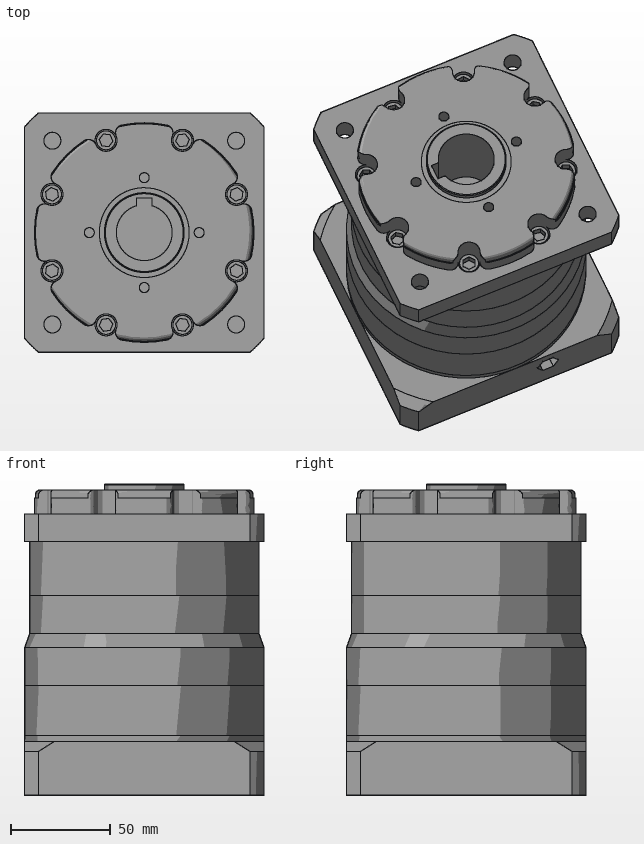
import cadquery as cq
import math

ADAPTER_SHOULDER = 27.0
ADAPTER_TOP = 30.0
INPUT_TOP = 55.0
TAPER_BOTTOM = 74.0
TAPER_TOP = 81.0
RING_GEAR_TOP = 100.0
FLANGE_BOTTOM = 127.0
FLANGE_TOP = 141.0
LOBE_STEP = 149.0
FACE_TOP = 153.0
SHAFT_TOP = 156.0

SQUARE_SIDE = 120.0
CORNER_DIAMETER = 160.0
ADAPTER_CHAMFER = 5.0

LARGE_DIAMETER = 120.0
SMALL_DIAMETER = 115.0

LOBE_DIAMETER = 110.0
LOBE_UPPER_DIAMETER = 109.0
LOBE_TOP_FILLET = 2.5
LOBE_CORNER_FILLET = 4.0
COVER_LINE_DIAMETERS = (65.0, 85.0)

SCREW_COUNT = 8
SCREW_CIRCLE_RADIUS = 50.0
SCREW_POCKET_DIAMETER = 11.0
SCREW_HEAD_DIAMETER = 9.5
SCREW_HEAD_RECESS = 1.0
SCREW_POCKET_DEPTH = 6.0
SCREW_HEX_FLATS = 6.0
SCREW_HEX_DEPTH = 4.0

MOUNT_SPACING = 92.0
MOUNT_DIAMETER = 8.5
TAPPED_COUNT = 4
TAPPED_CIRCLE_RADIUS = 27.5
TAPPED_DIAMETER = 5.0
TAPPED_DEPTH = 10.0

SHAFT_DIAMETER = 40.0
SHOULDER_DIAMETER = 45.0
SHAFT_CHAMFER = 0.5
BORE_DIAMETER = 28.0
BORE_DEPTH = 50.0
KEY_WIDTH = 8.0
KEY_REACH = 17.3

PLUG_Y = -18.0
PLUG_Z = 17.0
PLUG_DIAMETER = 16.0
PLUG_LENGTH = 10.0
PLUG_HEX_FLATS = 10.0
PLUG_HEX_DEPTH = 5.0


def cylinder(diameter, bottom, top):
    return cq.Workplane("XY", origin=(0, 0, bottom)).circle(diameter / 2).extrude(top - bottom)


def revolved(profile):
    """Solid of revolution about Z from (radius, height) points."""
    return cq.Workplane("XZ").polyline(profile).close().revolve(360, (0, 0, 0), (0, 1, 0))


def hexagon(workplane, flats, depth):
    return workplane.polygon(6, flats / math.cos(math.pi / 6)).extrude(depth)


def turned_square(bottom, top):
    """Square plate whose corners are turned to the corner diameter."""
    floor = cq.Workplane("XY", origin=(0, 0, bottom))
    square = floor.rect(SQUARE_SIDE, SQUARE_SIDE).extrude(top - bottom)
    return square.intersect(cylinder(CORNER_DIAMETER, bottom, top))


def make_adapter():
    envelope = cylinder(CORNER_DIAMETER, 0, ADAPTER_SHOULDER).faces(">Z").chamfer(ADAPTER_CHAMFER)
    plate = turned_square(0, ADAPTER_SHOULDER).intersect(envelope)
    adapter = plate.union(cylinder(LARGE_DIAMETER, ADAPTER_SHOULDER, ADAPTER_TOP))

    side = cq.Workplane("YZ", origin=(-SQUARE_SIDE / 2, PLUG_Y, PLUG_Z))
    plug = side.circle(PLUG_DIAMETER / 2).extrude(PLUG_LENGTH)
    socket = hexagon(side, PLUG_HEX_FLATS, PLUG_HEX_DEPTH)
    return adapter.cut(plug).union(plug, clean=False).cut(socket, clean=False)


def make_input_housing():
    return cylinder(LARGE_DIAMETER, ADAPTER_TOP, INPUT_TOP)


def make_ring_gear():
    return revolved([
        (0, INPUT_TOP),
        (LARGE_DIAMETER / 2, INPUT_TOP),
        (LARGE_DIAMETER / 2, TAPER_BOTTOM),
        (SMALL_DIAMETER / 2, TAPER_TOP),
        (SMALL_DIAMETER / 2, RING_GEAR_TOP),
        (0, RING_GEAR_TOP),
    ])


def screw_places(height):
    half_pitch = 180.0 / SCREW_COUNT
    plane = cq.Workplane("XY", origin=(0, 0, height))
    return plane.polarArray(SCREW_CIRCLE_RADIUS, half_pitch, 360, SCREW_COUNT)


def lobed_cover():
    """Disc scalloped around the screws, with a stepped and rounded rim."""
    height = FACE_TOP - FLANGE_TOP
    scallops = screw_places(FLANGE_TOP).circle(SCREW_POCKET_DIAMETER / 2).extrude(height)
    disc = cylinder(LOBE_DIAMETER, FLANGE_TOP, FACE_TOP).cut(scallops)
    disc = disc.edges("|Z").fillet(LOBE_CORNER_FILLET)

    lower = cylinder(LOBE_DIAMETER, FLANGE_TOP, LOBE_STEP)
    upper = cylinder(LOBE_UPPER_DIAMETER, LOBE_STEP, FACE_TOP).faces(">Z").edges().fillet(LOBE_TOP_FILLET)
    return disc.intersect(lower.union(upper))


def screw_cuts():
    """Pocket around each screw head, which is one piece with the flange, and its hexagon socket."""
    floor = FLANGE_TOP - SCREW_POCKET_DEPTH
    head_height = SCREW_POCKET_DEPTH - SCREW_HEAD_RECESS
    pockets = screw_places(floor).circle(SCREW_POCKET_DIAMETER / 2).extrude(SCREW_POCKET_DEPTH)
    heads = screw_places(floor).circle(SCREW_HEAD_DIAMETER / 2).extrude(head_height)
    sockets = hexagon(screw_places(floor + head_height), SCREW_HEX_FLATS, -SCREW_HEX_DEPTH)
    return pockets.cut(heads).union(sockets)


def make_front_housing():
    barrel = cylinder(SMALL_DIAMETER, RING_GEAR_TOP, FLANGE_BOTTOM)
    housing = barrel.union(turned_square(FLANGE_BOTTOM, FLANGE_TOP)).union(lobed_cover())
    housing = housing.cut(screw_cuts())

    flange_base = cq.Workplane("XY", origin=(0, 0, FLANGE_BOTTOM))
    mounts = flange_base.rect(MOUNT_SPACING, MOUNT_SPACING, forConstruction=True)
    housing = housing.cut(mounts.vertices().circle(MOUNT_DIAMETER / 2).extrude(FLANGE_TOP - FLANGE_BOTTOM))

    for diameter in sorted(COVER_LINE_DIAMETERS, reverse=True):
        core = cylinder(diameter, FLANGE_TOP, FACE_TOP)
        housing = housing.cut(core, clean=False).union(core, clean=False)

    face = cq.Workplane("XY", origin=(0, 0, FACE_TOP))
    tapped = face.polarArray(TAPPED_CIRCLE_RADIUS, 0, 360, TAPPED_COUNT)
    housing = housing.cut(tapped.circle(TAPPED_DIAMETER / 2).extrude(-TAPPED_DEPTH), clean=False)
    return housing.cut(cylinder(SHOULDER_DIAMETER, RING_GEAR_TOP, FACE_TOP), clean=False)


def make_output_shaft():
    journal = cylinder(SHAFT_DIAMETER, FACE_TOP, SHAFT_TOP).faces(">Z").chamfer(SHAFT_CHAMFER)
    shaft = cylinder(SHOULDER_DIAMETER, RING_GEAR_TOP, FACE_TOP).union(journal)
    bore_floor = SHAFT_TOP - BORE_DEPTH
    key_floor = cq.Workplane("XY", origin=(0, KEY_REACH / 2, bore_floor))
    keyway = key_floor.rect(KEY_WIDTH, KEY_REACH).extrude(BORE_DEPTH)
    return shaft.cut(cylinder(BORE_DIAMETER, bore_floor, SHAFT_TOP)).cut(keyway)


adapter = make_adapter()
input_housing = make_input_housing()
ring_gear = make_ring_gear()
front_housing = make_front_housing()
output_shaft = make_output_shaft()

result = cq.Compound.makeCompound([
    adapter.val(),
    input_housing.val(),
    ring_gear.val(),
    front_housing.val(),
    output_shaft.val(),
])